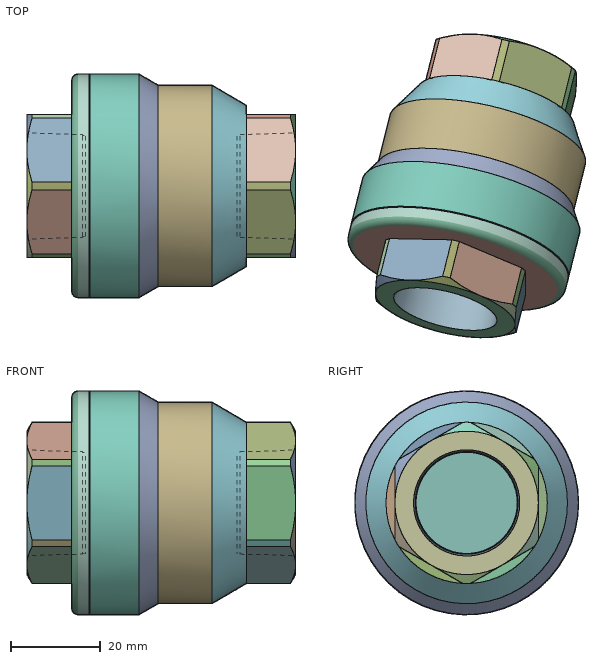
import cadquery as cq
import math

total_length = 60.0
end_x = total_length / 2
left_hex_length = 10.0
right_hex_length = 11.0
body_start = -end_x + left_hex_length
body_end = end_x - right_hex_length

flange_radius = 25.0
barrel_radius = 22.5
nose_radius = 18.0
cone_angle = math.radians(30)
flange_length = 15.0
barrel_length = 12.0
rim_fillet = 1.5

groove_offset = 3.9
groove_width = 0.2
groove_depth = 0.1

hex_sides = 6
hex_across_flats = 32.0
hex_corner_diameter = 36.0
hex_chamfer_angle = math.radians(30)

port_mouth_diameter = 23.7
port_taper = 1 / 16
port_depth = 12.4
port_recess_diameter = 22.6
port_recess_depth = 0.7


def revolve_about_x(profile_points):
    """Revolve a closed (x, radius) outline about the X axis."""
    outline = cq.Workplane("XY").polyline(profile_points).close()
    return outline.revolve(360, (0, 0, 0), (1, 0, 0))


def make_body():
    """Flange, step-down cone, barrel and tapered nose, with a rounded -X rim."""
    flange_end = body_start + flange_length
    barrel_start = flange_end + (flange_radius - barrel_radius) / math.tan(cone_angle)
    barrel_end = barrel_start + barrel_length
    body = revolve_about_x([
        (body_start, 0),
        (body_start, flange_radius),
        (flange_end, flange_radius),
        (barrel_start, barrel_radius),
        (barrel_end, barrel_radius),
        (body_end, nose_radius),
        (body_end, 0),
    ])
    return body.faces("<X").edges().fillet(rim_fillet)


def make_groove():
    """Thin ring that cuts the parting groove."""
    groove_start = body_start + groove_offset
    groove_plane = cq.Workplane("YZ", origin=(groove_start, 0, 0))
    ring = groove_plane.circle(flange_radius).circle(flange_radius - groove_depth)
    return ring.extrude(groove_width)


def make_hex_bar():
    """Full-length hexagonal bar with flats on +Y and -Y, turned corners and chamfered ends."""
    flat_radius = hex_across_flats / 2
    corner_radius = hex_corner_diameter / 2
    sharp_diameter = hex_across_flats / math.cos(math.pi / hex_sides)
    chamfer_length = (corner_radius - flat_radius) * math.tan(hex_chamfer_angle)
    hexagon = (
        cq.Workplane("YZ", origin=(-end_x, 0, 0))
        .transformed(rotate=(0, 0, 90))
        .polygon(hex_sides, sharp_diameter)
        .extrude(total_length)
    )
    turned_envelope = revolve_about_x([
        (-end_x, 0),
        (-end_x, flat_radius),
        (-end_x + chamfer_length, corner_radius),
        (end_x - chamfer_length, corner_radius),
        (end_x, flat_radius),
        (end_x, 0),
    ])
    return hexagon.intersect(turned_envelope)


def make_port():
    """Blind tapered bore in the -X end, stepping down to a slightly smaller recess."""
    mouth_radius = port_mouth_diameter / 2
    inner_radius = mouth_radius - port_depth * port_taper / 2
    recess_radius = port_recess_diameter / 2
    step_x = -end_x + port_depth
    floor_x = step_x + port_recess_depth
    return revolve_about_x([
        (-end_x, 0),
        (-end_x, mouth_radius),
        (step_x, inner_radius),
        (step_x, recess_radius),
        (floor_x, recess_radius),
        (floor_x, 0),
    ])


left_port = make_port()
right_port = left_port.mirror("YZ")

result = make_body().cut(make_groove()).union(make_hex_bar()).cut(left_port).cut(right_port)